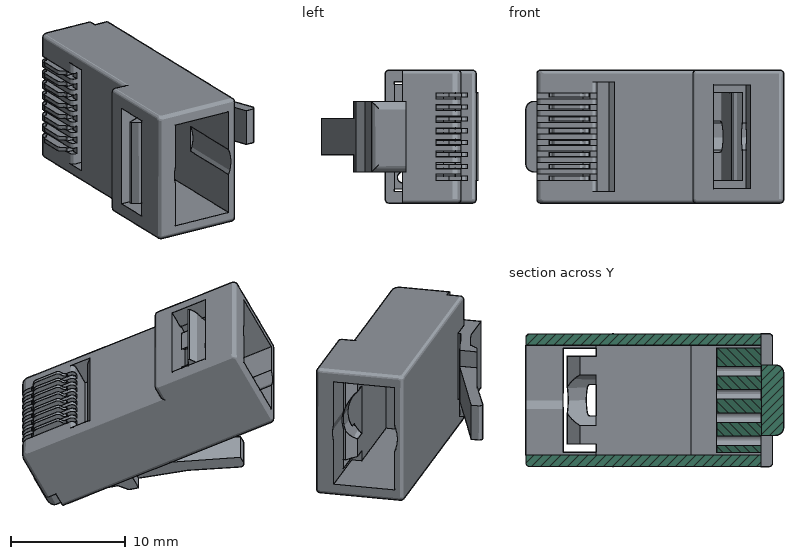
import cadquery as cq
import math


total_length = 22.5
housing_width = 11.6
housing_front = 0.97
nose_floor = -6.62
tail_floor = -7.95
step_x = 14.58
nose_corner_radius = 0.75
tail_corner_radius = 0.4
step_corner_radius = 0.35
side_fillet = 0.34
notch_back = 1.98
notch_floor = -1.5

cavity_width = 9.55
cavity_roof = -0.8
wire_cavity_end = 8.1
wire_cavity_floor = -3.33
cable_cavity_floor = -5.4
cable_radius = 2.92
cable_axis_y = -3.49

contact_count = 8
contact_pitch = 1.04
contact_thickness = 0.35
contact_front = 2.02
contact_nose = 2.1
contact_nose_floor = -5.55
contact_back = 5.51
contact_foot_radius = 0.18
contact_shoulder = -6.64
contact_top = -7.18
crown_front = 2.85
crown_back = 4.75
crown_front_bend = 0.36
crown_back_bend = 0.5
slot_pitch = 1.01
slot_width = 0.55
slot_floor = -4.43
slot_step_x = 5.02
slot_step_floor = -5.08
slot_ramp_x = 5.62
slot_ramp_floor = -6.1
slot_back = 6.23

pocket_front = 5.85
pocket_back = 7.76
pocket_lip_depth = 0.5
pocket_floor = slot_floor

window_front = 16.35
window_back = 19.58
window_back_taper = 0.35
window_width = 9.05
entry_floor = -6.3
flap_width = 7.67
hinge_face = -6.08
hinge_end = 17.05
hinge_radius = 0.22
flap_ridge = (17.95, -8.1)
flap_round_start = (18.1, -8.03)
flap_round_mid = (18.38, -7.63)
flap_round_end = (18.56, -7.13)
flap_heel = (18.88, -6.19)
flap_toe_x = 17.78

latch_width = 6.16
lever_width = 3.2
latch_top = 1.2
latch_chin = -1.8
latch_fillet = 0.75
latch_root_end = 3.94
latch_root_relief = 0.15
latch_neck_x = 4.12
latch_neck_under = 0.32
hook_foot = (6.41, 1.75)
hook_peak = (7.09, 2.55)
lever_start = 7.95
lever_start_top = 2.75
lever_start_under = 1.2
lever_bend = (12.17, 3.87)
lever_tip_start = 16.47
lever_end = 16.9
lever_tip_top = 5.55
lever_tip_under = 4.61
lever_tip_radius = 0.34

bar_width = 9.14
bar_end = pocket_front
wire_radius = 0.5
upper_wire_y = -1.58
lower_wire_y = wire_cavity_floor + cavity_roof - upper_wire_y


def extruded(sketch, width):
    """Extrude an outline in the XY plane evenly to both sides of Z = 0."""
    return sketch.extrude(width / 2, both=True)


def block(x_range, y_range, width):
    """Make a box between two X and two Y places, centred on Z = 0."""
    length = x_range[1] - x_range[0]
    height = y_range[1] - y_range[0]
    corner = cq.Workplane("XY", origin=(x_range[0], y_range[0], 0))
    return extruded(corner.rect(length, height, centered=False), width)


def nearest(x, y):
    """Select the edge along Z whose middle is nearest to this XY place."""
    return cq.selectors.NearestToPointSelector((x, y, 0))


def row_places(pitch):
    """Z places of the contacts or slots, from the lowest to the highest."""
    return [(i - (contact_count - 1) / 2) * pitch for i in range(contact_count)]


def make_shell():
    """Stepped housing block with rounded edges and the latch notch, still without openings."""
    outline = [
        (housing_front, 0),
        (housing_front, nose_floor),
        (step_x, nose_floor),
        (step_x, tail_floor),
        (total_length, tail_floor),
        (total_length, 0),
    ]
    shell = extruded(cq.Workplane("XY").polyline(outline).close(), housing_width)
    shell = shell.edges(nearest(housing_front, nose_floor)).fillet(nose_corner_radius)
    shell = shell.edges(nearest(step_x, tail_floor)).fillet(step_corner_radius)
    shell = shell.edges("|Z and >X").fillet(tail_corner_radius)
    shell = shell.faces("<Z or >Z").edges().fillet(side_fillet)
    return shell.cut(block((housing_front, notch_back), (notch_floor, 0), housing_width))


def make_cavity():
    """Inner space: a low part for the wire bar, then a taller part for the cable, widest at the entry."""
    wires = block((notch_back, wire_cavity_end), (wire_cavity_floor, cavity_roof), cavity_width)
    cable = block((wire_cavity_end, total_length), (cable_cavity_floor, cavity_roof), cavity_width)
    entry = block((window_front, total_length), (entry_floor, cavity_roof), cavity_width)
    return wires.union(cable).union(entry).union(make_cable_bore())


def make_cable_bore():
    """Round clearance for the cable along X."""
    bore = cq.Workplane("YZ", origin=(window_front, cable_axis_y, 0)).circle(cable_radius)
    return bore.extrude(total_length - window_front)


def make_slot():
    """Slot of one contact, stepped up towards the crimp pocket and open to the front and below."""
    outline = [
        (housing_front, slot_floor),
        (slot_step_x, slot_floor),
        (slot_step_x, slot_step_floor),
        (slot_ramp_x, slot_step_floor),
        (slot_ramp_x, slot_ramp_floor),
        (slot_back, slot_ramp_floor),
        (slot_back, nose_floor),
        (housing_front, nose_floor),
    ]
    return extruded(cq.Workplane("XY").polyline(outline).close(), slot_width)


def make_pocket():
    """Crimp pocket with a rounded front lip and a 45 degree back lip."""
    lip_radius = slot_back - pocket_front
    sketch = (
        cq.Workplane("XY")
        .moveTo(pocket_front, nose_floor)
        .radiusArc((slot_back, nose_floor + lip_radius), -lip_radius)
        .lineTo(slot_back, pocket_floor)
        .lineTo(pocket_back - pocket_lip_depth, pocket_floor)
        .lineTo(pocket_back - pocket_lip_depth, nose_floor + pocket_lip_depth)
        .lineTo(pocket_back, nose_floor)
        .close()
    )
    return extruded(sketch, cavity_width)


def make_window():
    """Opening around the strain relief flap, with a sloped back wall."""
    outline = [
        (window_front, tail_floor),
        (window_back, tail_floor),
        (window_back - window_back_taper, entry_floor),
        (window_front, entry_floor),
    ]
    return extruded(cq.Workplane("XY").polyline(outline).close(), window_width)


def make_flap():
    """Strain relief flap, hinged on the front wall of the window and cleared for the cable."""
    sketch = (
        cq.Workplane("XY")
        .moveTo(window_front, hinge_face)
        .lineTo(hinge_end, hinge_face)
        .lineTo(*flap_ridge)
        .lineTo(*flap_round_start)
        .threePointArc(flap_round_mid, flap_round_end)
        .lineTo(*flap_heel)
        .lineTo(flap_toe_x, cable_cavity_floor)
        .lineTo(window_front, cable_cavity_floor)
        .close()
    )
    flap = extruded(sketch, flap_width).edges(nearest(hinge_end, hinge_face)).fillet(hinge_radius)
    return flap.cut(make_cable_bore())


def make_latch():
    """Latch with a wide hooked root and a narrower release lever."""
    root = [
        (0, latch_chin),
        (housing_front, latch_chin),
        (housing_front, notch_floor),
        (notch_back, notch_floor),
        (notch_back, 0),
        (latch_root_end, 0),
        (latch_root_end, latch_root_relief),
        (latch_neck_x, latch_neck_under),
        (lever_start, lever_start_under),
        (lever_start, lever_start_top),
        hook_peak,
        hook_foot,
        (latch_neck_x, latch_top),
        (0, latch_top),
    ]
    latch = extruded(cq.Workplane("XY").polyline(root).close(), latch_width)
    latch = latch.faces("<X").edges("not <Y").fillet(latch_fillet)
    lever_outline = [
        (lever_start, lever_start_under),
        (lever_end, lever_tip_under),
        (lever_end, lever_tip_top),
        (lever_tip_start, lever_tip_top),
        lever_bend,
        (lever_start, lever_start_top),
    ]
    lever = extruded(cq.Workplane("XY").polyline(lever_outline).close(), lever_width)
    lever = lever.edges("|Z and >X and >Y").fillet(lever_tip_radius)
    return latch.union(lever)


def make_housing():
    """Housing in one piece with its strain relief flap and latch."""
    housing = make_shell().cut(make_cavity()).cut(make_pocket()).cut(make_window())
    slot = make_slot()
    for z in row_places(slot_pitch):
        housing = housing.cut(slot.translate((0, 0, z)))
    return housing.union(make_flap()).union(make_latch())


def add_s_curve(sketch, start, end, bend):
    """Add two tangent arcs that leave and arrive along X and meet at the fraction `bend` of the way."""
    run = end[0] - start[0]
    rise = end[1] - start[1]
    turn = 2 * math.atan2(rise, run)
    meeting = (start[0] + bend * run, start[1] + bend * rise)
    radius = run / math.sin(turn)
    return sketch.radiusArc(meeting, -bend * radius).radiusArc(end, (1 - bend) * radius)


def make_contact(z):
    """Contact blade with an S-curved rise to its crown at each end."""
    front_shoulder = (contact_nose, contact_shoulder)
    front_crown = (crown_front, contact_top)
    back_crown = (crown_back, contact_top)
    back_shoulder = (contact_back, contact_shoulder)
    sketch = (
        cq.Workplane("XY")
        .moveTo(contact_front + contact_foot_radius, slot_floor)
        .radiusArc((contact_front, slot_floor - contact_foot_radius), -contact_foot_radius)
        .lineTo(contact_front, contact_nose_floor)
        .lineTo(contact_nose, contact_nose_floor)
        .lineTo(*front_shoulder)
    )
    sketch = add_s_curve(sketch, front_shoulder, front_crown, crown_front_bend)
    sketch = sketch.lineTo(*back_crown)
    sketch = add_s_curve(sketch, back_crown, back_shoulder, crown_back_bend)
    sketch = (
        sketch
        .lineTo(contact_back, slot_step_floor)
        .lineTo(slot_step_x, slot_step_floor)
        .lineTo(slot_step_x, slot_floor)
        .close()
    )
    return extruded(sketch, contact_thickness).translate((0, 0, z))


def make_wire_bar():
    """Bar that holds the wires in two staggered rows."""
    bar = block((notch_back, bar_end), (wire_cavity_floor, cavity_roof), bar_width)
    for i, z in enumerate(row_places(slot_pitch)):
        wire_y = upper_wire_y if i % 2 == 0 else lower_wire_y
        hole = cq.Workplane("YZ", origin=(notch_back, wire_y, z)).circle(wire_radius)
        bar = bar.cut(hole.extrude(bar_end - notch_back))
    return bar


housing = make_housing()
wire_bar = make_wire_bar()
contacts = [make_contact(z).val() for z in row_places(contact_pitch)]

result = cq.Compound.makeCompound([housing.val(), wire_bar.val(), *contacts])